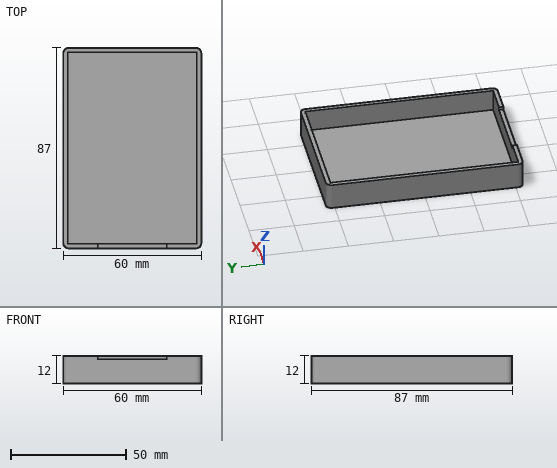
import cadquery as cq

length_x = 60.0
length_y = 87.0
height = 12.0
corner_radius = 2.5

wall = 2.0
floor_thickness = 2.0

notch_width = 30.0
notch_depth = 1.5


def make_body():
    """Solid block with rounded vertical corners, base at Z = 0."""
    block = cq.Workplane("XY").box(length_x, length_y, height, centered=(True, True, False))
    return block.edges("|Z").fillet(corner_radius)


def make_cavity():
    """Sharp-cornered pocket open at the top."""
    return (
        cq.Workplane("XY")
        .workplane(offset=floor_thickness)
        .rect(length_x - 2 * wall, length_y - 2 * wall)
        .extrude(height - floor_thickness)
    )


def make_rim_notch():
    """Cutter through the top of the -Y wall, centred in X."""
    return (
        cq.Workplane("XY")
        .workplane(offset=height - notch_depth)
        .center(0, -(length_y - wall) / 2)
        .rect(notch_width, wall)
        .extrude(notch_depth)
    )


result = make_body().cut(make_cavity()).cut(make_rim_notch())